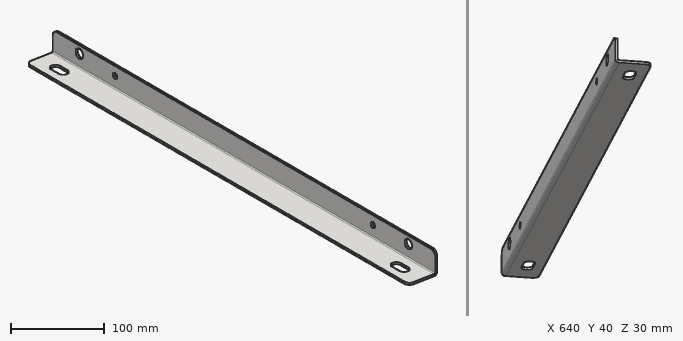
import cadquery as cq

LENGTH = 640.0
DEPTH = 40.0
HEIGHT = 30.0
THICKNESS = 3.0
INNER_BEND_RADIUS = 1.0
OUTER_BEND_RADIUS = INNER_BEND_RADIUS + THICKNESS
CORNER_RADIUS = 7.0

LARGE_HOLE_DIAMETER = 12.0
LARGE_HOLE_SPACING = 550.5
LARGE_HOLE_DROP = 10.0
SMALL_HOLE_DIAMETER = 7.0
SMALL_HOLE_SPACING = 431.5
SMALL_HOLE_DROP = 12.0

SLOT_LENGTH = 25.0
SLOT_WIDTH = 12.0
SLOT_SPACING = 570.0
SLOT_SETBACK = 17.0


def make_flanges():
    """L-shaped bar, centred in X and Y, resting on Z = 0, upright at the back."""
    front = -DEPTH / 2
    back = DEPTH / 2
    bar = (
        cq.Workplane("YZ")
        .moveTo(front, 0)
        .lineTo(back, 0)
        .lineTo(back, HEIGHT)
        .lineTo(back - THICKNESS, HEIGHT)
        .lineTo(back - THICKNESS, THICKNESS)
        .lineTo(front, THICKNESS)
        .close()
        .extrude(LENGTH / 2, both=True)
    )
    inner_bend = cq.selectors.NearestToPointSelector((0, back - THICKNESS, THICKNESS))
    outer_bend = cq.selectors.NearestToPointSelector((0, back, 0))
    bar = bar.edges(inner_bend).fillet(INNER_BEND_RADIUS)
    return bar.edges(outer_bend).fillet(OUTER_BEND_RADIUS)


def round_free_corners(bar):
    bar = bar.faces("<Y").edges("|Z").fillet(CORNER_RADIUS)
    return bar.faces(">Z").edges("|Y").fillet(CORNER_RADIUS)


def mirrored_pair(spacing, offset):
    """Two points placed symmetrically about the middle of the bar."""
    return [(-spacing / 2, offset), (spacing / 2, offset)]


def upright_holes(diameter, spacing, drop):
    return (
        cq.Workplane("XZ")
        .pushPoints(mirrored_pair(spacing, HEIGHT - drop))
        .circle(diameter / 2)
        .extrude(-DEPTH)
    )


def flat_slots():
    return (
        cq.Workplane("XY")
        .pushPoints(mirrored_pair(SLOT_SPACING, SLOT_SETBACK - DEPTH / 2))
        .slot2D(SLOT_LENGTH, SLOT_WIDTH)
        .extrude(HEIGHT)
    )


result = round_free_corners(make_flanges())
result = result.cut(upright_holes(LARGE_HOLE_DIAMETER, LARGE_HOLE_SPACING, LARGE_HOLE_DROP))
result = result.cut(upright_holes(SMALL_HOLE_DIAMETER, SMALL_HOLE_SPACING, SMALL_HOLE_DROP))
result = result.cut(flat_slots())